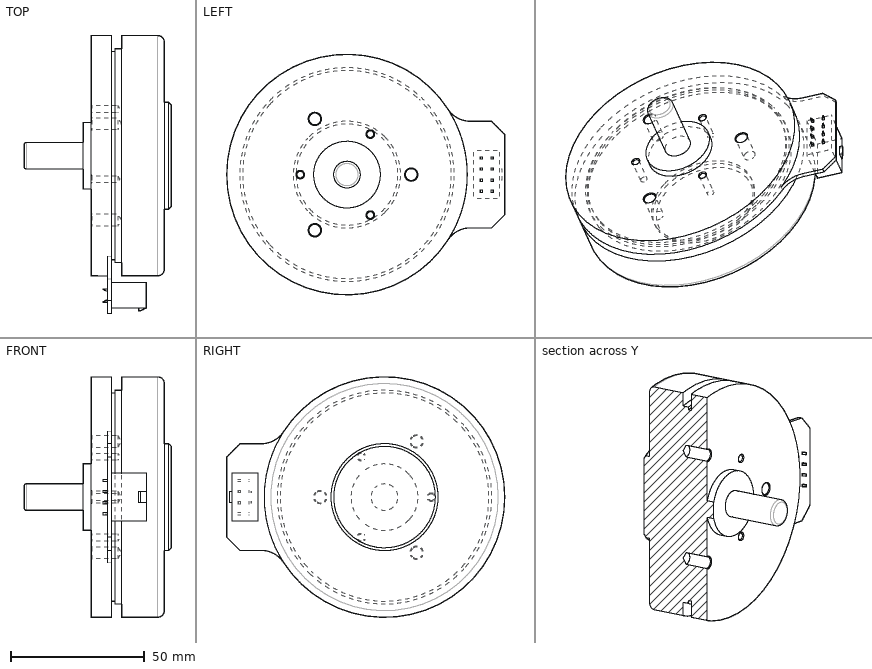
import cadquery as cq
import math


body_dia = 90.0
shaft_dia = 10.0
shaft_length = 22.0
shaft_fillet = 0.8
pilot_dia = 25.0
pilot_height = 3.0
base_thickness = 6.0
board_thickness = 1.6
neck_dia = 78.0
neck_length = 1.2
collar_dia = 80.1
collar_length = 2.5
drum_length = 16.0
drum_fillet = 2.5
hub_dia = 40.0
hub_length = 2.6
hub_chamfer = 1.0

hole_count = 3
large_hole_dia = 4.4
large_hole_rim_dia = 5.0
large_hole_circle_dia = 48.0
small_hole_dia = 2.5
small_hole_rim_dia = 3.2
small_hole_circle_dia = 34.9
hole_depth = 10.0
drill_point_angle = 118

overall_width = 104.0
tab_width = 39.9
tab_chamfer = 5.0
tab_fillet = 10.0

connector_length = 13.0
connector_depth = 9.7
connector_height = 18.0
connector_setback = 2.1
latch_length = 2.9
latch_flat = 0.7
latch_rise = 1.0
latch_width = 4.2

pin_setback = 6.8
pin_rows = 4
pin_pitch = 4.2
pin_span = 5.0
pin_length = 1.6
pin_root = 0.8
pin_tip = 0.2
pin_straight = 0.4
pin_width = 0.8

body_radius = body_dia / 2
tab_end = body_radius - overall_width
board_front = base_thickness
board_back = board_front + board_thickness
collar_start = board_back + neck_length
drum_start = collar_start + collar_length
drum_end = drum_start + drum_length


def disc(dia, start, length):
    """Cylinder on the shaft axis, from X = start towards +X."""
    return cq.Workplane("YZ", origin=(start, 0, 0)).circle(dia / 2).extrude(length)


def make_body():
    shaft = disc(shaft_dia, -pilot_height - shaft_length, shaft_length + pilot_height)
    shaft = shaft.faces("<X").edges().fillet(shaft_fillet)
    drum = disc(body_dia, drum_start, drum_length).faces(">X").edges().fillet(drum_fillet)
    hub = disc(hub_dia, drum_end, hub_length).faces(">X").edges().chamfer(hub_chamfer)
    return (
        disc(body_dia, 0, board_back)
        .union(shaft)
        .union(disc(pilot_dia, -pilot_height, pilot_height))
        .union(disc(neck_dia, board_back, neck_length))
        .union(disc(collar_dia, collar_start, collar_length))
        .union(drum)
        .union(hub)
    )


def make_tab():
    """Board tab whose sides sweep tangentially into the round body."""
    half_width = tab_width / 2
    arc_z = half_width + tab_fillet
    arc_y = -math.sqrt((body_radius + tab_fillet) ** 2 - arc_z ** 2)
    touch = body_radius / (body_radius + tab_fillet)
    touch_y = arc_y * touch
    touch_z = arc_z * touch
    side_angle = math.atan2(touch_z - arc_z, touch_y - arc_y)
    mid_angle = (side_angle - math.pi / 2) / 2
    mid_y = arc_y + tab_fillet * math.cos(mid_angle)
    mid_z = arc_z + tab_fillet * math.sin(mid_angle)
    chamfer_y = tab_end + tab_chamfer
    chamfer_z = half_width - tab_chamfer
    return (
        cq.Workplane("YZ", origin=(board_front, 0, 0))
        .moveTo(0, 0)
        .lineTo(touch_y, touch_z)
        .threePointArc((mid_y, mid_z), (arc_y, half_width))
        .lineTo(chamfer_y, half_width)
        .lineTo(tab_end, chamfer_z)
        .lineTo(tab_end, -chamfer_z)
        .lineTo(chamfer_y, -half_width)
        .lineTo(arc_y, -half_width)
        .threePointArc((mid_y, -mid_z), (touch_y, -touch_z))
        .close()
        .extrude(board_thickness)
    )


def make_connector():
    outer_y = tab_end + connector_setback
    end_x = board_back + connector_length
    housing = cq.Workplane("XY").box(
        connector_length, connector_depth, connector_height, centered=(False, False, True)
    ).translate((board_back, outer_y, 0))
    latch_x = end_x - latch_length
    latch = (
        cq.Workplane("XY")
        .moveTo(latch_x, outer_y)
        .lineTo(latch_x, outer_y - latch_rise)
        .lineTo(latch_x + latch_flat, outer_y - latch_rise)
        .lineTo(end_x, outer_y)
        .close()
        .extrude(latch_width / 2, both=True)
    )
    return housing.union(latch)


def make_pins():
    """Two mirrored columns of pins, their sloped sides facing each other."""
    middle_y = tab_end + pin_setback
    pins = cq.Workplane("XY")
    for side in (-1, 1):
        outer_y = middle_y + side * pin_span / 2
        pin = (
            cq.Workplane("XY")
            .moveTo(board_front, outer_y)
            .lineTo(board_front - pin_length, outer_y)
            .lineTo(board_front - pin_length, outer_y - side * pin_tip)
            .lineTo(board_front - pin_straight, outer_y - side * pin_root)
            .lineTo(board_front, outer_y - side * pin_root)
            .close()
            .extrude(pin_width / 2, both=True)
        )
        for row in range(pin_rows):
            z = (row - (pin_rows - 1) / 2) * pin_pitch
            pins = pins.add(pin.translate((0, 0, z)))
    return pins.combine()


def make_holes(dia, rim_dia, circle_dia, first_angle):
    """Blind drilled holes with a conical bottom and a chamfered rim, equally spaced."""
    radius = dia / 2
    rim_radius = rim_dia / 2
    rim_depth = rim_radius - radius
    point_depth = radius / math.tan(math.radians(drill_point_angle / 2))
    cutter = (
        cq.Workplane("XY")
        .lineTo(0, rim_radius)
        .lineTo(rim_depth, radius)
        .lineTo(hole_depth, radius)
        .lineTo(hole_depth + point_depth, 0)
        .close()
        .revolve(360, (0, 0, 0), (1, 0, 0))
        .translate((0, circle_dia / 2, 0))
    )
    holes = cq.Workplane("XY")
    for index in range(hole_count):
        angle = first_angle + index * 360 / hole_count
        holes = holes.add(cutter.rotate((0, 0, 0), (1, 0, 0), angle))
    return holes.combine()


result = (
    make_body()
    .union(make_tab())
    .union(make_connector())
    .union(make_pins())
    .cut(make_holes(large_hole_dia, large_hole_rim_dia, large_hole_circle_dia, 180))
    .cut(make_holes(small_hole_dia, small_hole_rim_dia, small_hole_circle_dia, 0))
)